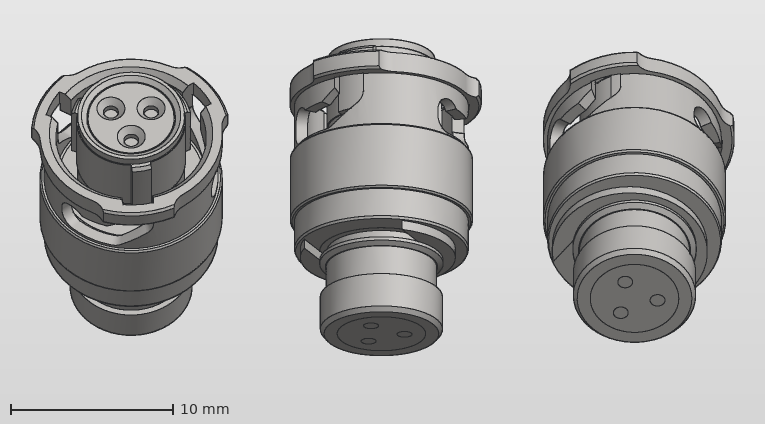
import cadquery as cq
import math

TOP_Z = 18.3
LIP_BOTTOM_Z = 17.77
KEY_BOTTOM_Z = 13.69
FLOOR_Z = 11.8
COUPLING_BOTTOM_Z = 5.49
CLIP_BOTTOM_Z = 4.89
NECK_TOP_Z = 4.45
REAR_BAND_TOP_Z = 2.45

LIP_RADIUS = 3.3
BARREL_RADIUS = 3.37
MOUTH_RADIUS = 3.05
SHELL_BORE_RADIUS = 2.73
FLANGE_RADIUS = 4.63
SHANK_RADIUS = 3.8
SHANK_CHAMFER_WIDTH = 0.35
SHANK_CHAMFER_HEIGHT = 0.22
CLIP_GROOVE_RADIUS = 3.37
NECK_RADIUS = 3.4
REAR_BAND_RADIUS = 3.77
REAR_CHAMFER_WIDTH = 0.24
REAR_CHAMFER_HEIGHT = 0.3

KEY_OUTER_RADIUS = 3.73
KEY_CHAMFER = 0.2
WIDE_KEY_WIDTH = 2.4
NARROW_KEY_WIDTH = 1.2
WIDE_KEY_DIRECTION = 90.0
NARROW_KEY_DIRECTIONS = (220.0, 340.0)

INSERT_FACE_Z = 18.08
INSERT_NOSE_RADIUS = 2.65
INSERT_NOSE_LENGTH = 0.37
CONTACT_COUNT = 3
CONTACT_PITCH = 360.0 / CONTACT_COUNT
CONTACT_CIRCLE_RADIUS = 1.43
CONTACT_RADIUS = 0.45
CONTACT_TOP_Z = 17.33
LEAD_IN_RADIUS = 0.86
LEAD_IN_DEPTH = 0.38

SEAL_RADIUS = 4.47
SEAL_THICKNESS = 0.37

CLIP_RADIUS = 4.78
CLIP_OFFSET_Y = 0.5

COUPLING_TURN = 4.3
COUPLING_BORE_RADIUS = FLANGE_RADIUS
SLEEVE_RADIUS = 5.36
SLEEVE_BOTTOM_CHAMFER = (0.07, 0.16)
GRIP_RADIUS = 5.62
GRIP_TOP_Z = 11.73
GRIP_BOTTOM_Z = 7.47
GRIP_CHAMFER = 0.11
RIM_TOP_Z = 16.43
RIM_BOTTOM_Z = 15.17
RIM_MOUTH_CHAMFER = 0.4
RIM_RADIUS = 5.62
LOBE_RADIUS = 6.15
LOBE_CHAMFER = 0.15
LOBE_COUNT = 3
LOBE_HALF_ANGLE = 20.7
LOBE_FILLET_ANGLE = 30.0
LOBE_PITCH = 360.0 / LOBE_COUNT

SLOT_WIDTH = 1.9
SLOT_HALF = SLOT_WIDTH / 2
SLOT_BEND_Z = 14.04
SLOT_RAMP_ANGLE = 35.0
SLOT_BOTTOM_Z = 11.93
SLOT_TRACK_Z = SLOT_BOTTOM_Z + SLOT_HALF
SLOT_LENGTH = 4.41
SLOT_POCKET_RISE = 0.38
SLOT_ENTRY_DEPTH_RADIUS = 5.42

CUT_MARGIN = 0.18


def polar(radius, angle):
    """Point at a radius and an angle in degrees."""
    return radius * math.cos(math.radians(angle)), radius * math.sin(math.radians(angle))


def turned(body, angle):
    """A copy of the body turned about the connector axis."""
    return body.rotate((0, 0, 0), (0, 0, 1), angle)


def cylinder(radius, bottom, top):
    """Solid cylinder about the connector axis between two heights."""
    return cq.Workplane("XY", origin=(0, 0, bottom)).circle(radius).extrude(top - bottom)


def revolved(points):
    """Solid of revolution about Z from (radius, height) points."""
    return cq.Workplane("XZ").polyline(points).close().revolve(360, (0, 0, 0), (0, 1, 0))


def make_key(direction, width):
    """Polarizing key, chamfered at its upper outer edge."""
    profile = [
        (SHELL_BORE_RADIUS + CUT_MARGIN, KEY_BOTTOM_Z),
        (KEY_OUTER_RADIUS, KEY_BOTTOM_Z),
        (KEY_OUTER_RADIUS, LIP_BOTTOM_Z - KEY_CHAMFER),
        (KEY_OUTER_RADIUS - KEY_CHAMFER, LIP_BOTTOM_Z),
        (SHELL_BORE_RADIUS + CUT_MARGIN, LIP_BOTTOM_Z),
    ]
    bar = cq.Workplane("XY", origin=(0, 0, KEY_BOTTOM_Z)).box(
        2 * KEY_OUTER_RADIUS, width, LIP_BOTTOM_Z - KEY_BOTTOM_Z, centered=(False, True, False)
    )
    return turned(revolved(profile).intersect(bar), direction)


def make_shell():
    """Tubular plug shell with the keys, the flange, the clip groove and the rear band."""
    shank_chamfer_top = NECK_TOP_Z + SHANK_CHAMFER_HEIGHT
    shell = revolved([
        (SHELL_BORE_RADIUS, 0),
        (REAR_BAND_RADIUS - REAR_CHAMFER_WIDTH, 0),
        (REAR_BAND_RADIUS, REAR_CHAMFER_HEIGHT),
        (REAR_BAND_RADIUS, REAR_BAND_TOP_Z),
        (NECK_RADIUS, REAR_BAND_TOP_Z),
        (NECK_RADIUS, NECK_TOP_Z),
        (SHANK_RADIUS - SHANK_CHAMFER_WIDTH, NECK_TOP_Z),
        (SHANK_RADIUS, shank_chamfer_top),
        (SHANK_RADIUS, CLIP_BOTTOM_Z),
        (CLIP_GROOVE_RADIUS, CLIP_BOTTOM_Z),
        (CLIP_GROOVE_RADIUS, COUPLING_BOTTOM_Z),
        (SHANK_RADIUS, COUPLING_BOTTOM_Z),
        (SHANK_RADIUS, GRIP_BOTTOM_Z),
        (FLANGE_RADIUS, GRIP_BOTTOM_Z),
        (FLANGE_RADIUS, FLOOR_Z),
        (SEAL_RADIUS, FLOOR_Z),
        (SEAL_RADIUS, FLOOR_Z - SEAL_THICKNESS),
        (LIP_RADIUS, FLOOR_Z - SEAL_THICKNESS),
        (LIP_RADIUS, KEY_BOTTOM_Z),
        (BARREL_RADIUS, KEY_BOTTOM_Z),
        (BARREL_RADIUS, LIP_BOTTOM_Z),
        (LIP_RADIUS, LIP_BOTTOM_Z),
        (LIP_RADIUS, TOP_Z),
        (MOUTH_RADIUS, TOP_Z),
        (SHELL_BORE_RADIUS, INSERT_FACE_Z),
    ])
    shell = shell.union(make_key(WIDE_KEY_DIRECTION, WIDE_KEY_WIDTH))
    for direction in NARROW_KEY_DIRECTIONS:
        shell = shell.union(make_key(direction, NARROW_KEY_WIDTH))
    return shell


def make_seal():
    """Flat ring lying flush in the top of the shell flange."""
    return cylinder(SEAL_RADIUS, FLOOR_Z - SEAL_THICKNESS, FLOOR_Z).cut(
        cylinder(LIP_RADIUS, FLOOR_Z - SEAL_THICKNESS, FLOOR_Z)
    )


def contact_positions():
    """Centres of the contacts, the first in line with the wide key."""
    return [
        polar(CONTACT_CIRCLE_RADIUS, WIDE_KEY_DIRECTION + i * CONTACT_PITCH)
        for i in range(CONTACT_COUNT)
    ]


def make_insert():
    """Insulator filling the shell bore, with a funnel-mouthed hole for each contact."""
    nose_bottom = INSERT_FACE_Z - INSERT_NOSE_LENGTH
    insert = cylinder(SHELL_BORE_RADIUS, 0, nose_bottom).union(
        cylinder(INSERT_NOSE_RADIUS, nose_bottom, INSERT_FACE_Z)
    )
    contact_hole = revolved([
        (0, 0),
        (CONTACT_RADIUS, 0),
        (CONTACT_RADIUS, INSERT_FACE_Z - LEAD_IN_DEPTH),
        (LEAD_IN_RADIUS, INSERT_FACE_Z),
        (0, INSERT_FACE_Z),
    ])
    for x, y in contact_positions():
        insert = insert.cut(contact_hole.translate((x, y, 0)))
    return insert


def make_contact(x, y):
    """Round contact ending below the funnel of its hole."""
    return cylinder(CONTACT_RADIUS, 0, CONTACT_TOP_Z).translate((x, y, 0))


def make_clip():
    """Eccentric U-shaped retaining clip, open toward +Y."""
    thickness = COUPLING_BOTTOM_Z - CLIP_BOTTOM_Z
    opening_length = CLIP_RADIUS + CLIP_OFFSET_Y
    disc = cylinder(CLIP_RADIUS, CLIP_BOTTOM_Z, COUPLING_BOTTOM_Z).translate((0, CLIP_OFFSET_Y, 0))
    opening = cq.Workplane("XY", origin=(0, 0, CLIP_BOTTOM_Z)).box(
        2 * CLIP_GROOVE_RADIUS, opening_length, thickness, centered=(True, False, False)
    )
    seat = cylinder(CLIP_GROOVE_RADIUS, CLIP_BOTTOM_Z, COUPLING_BOTTOM_Z)
    return disc.cut(opening).cut(seat)


def make_lobed_rim():
    """Rim with three edge-chamfered lobes whose hollow flanks run smoothly into the plain rim."""
    half_gap = LOBE_FILLET_ANGLE - LOBE_HALF_ANGLE
    corner_x, corner_y = polar(LOBE_RADIUS, half_gap)
    overhang = corner_x - RIM_RADIUS
    flank_radius = (overhang**2 + corner_y**2) / (2 * overhang)
    flank_centre = RIM_RADIUS + flank_radius
    flank_half_turn = math.degrees(math.asin(corner_y / flank_radius)) / 2
    mid_x = flank_centre - flank_radius * math.cos(math.radians(flank_half_turn))
    mid_y = flank_radius * math.sin(math.radians(flank_half_turn))
    flank_mid_radius = math.hypot(mid_x, mid_y)
    flank_mid_angle = LOBE_FILLET_ANGLE - math.degrees(math.atan2(mid_y, mid_x))

    outline = cq.Workplane("XY", origin=(0, 0, RIM_BOTTOM_Z)).moveTo(*polar(LOBE_RADIUS, -LOBE_HALF_ANGLE))
    for i in range(LOBE_COUNT):
        lobe = i * LOBE_PITCH
        next_lobe = lobe + LOBE_PITCH
        outline = (
            outline
            .threePointArc(polar(LOBE_RADIUS, lobe), polar(LOBE_RADIUS, lobe + LOBE_HALF_ANGLE))
            .threePointArc(
                polar(flank_mid_radius, lobe + flank_mid_angle), polar(RIM_RADIUS, lobe + LOBE_FILLET_ANGLE)
            )
            .threePointArc(
                polar(RIM_RADIUS, lobe + LOBE_PITCH / 2), polar(RIM_RADIUS, next_lobe - LOBE_FILLET_ANGLE)
            )
            .threePointArc(
                polar(flank_mid_radius, next_lobe - flank_mid_angle),
                polar(LOBE_RADIUS, next_lobe - LOBE_HALF_ANGLE),
            )
        )
    rim = outline.close().extrude(RIM_TOP_Z - RIM_BOTTOM_Z)
    chamfered_disc = cylinder(LOBE_RADIUS, RIM_BOTTOM_Z, RIM_TOP_Z).edges().chamfer(LOBE_CHAMFER)
    return rim.intersect(chamfered_disc)


def slot_outline():
    """Slot unrolled flat: x runs around the sleeve from the entry, y is height."""
    ramp = math.radians(SLOT_RAMP_ANGLE)
    half_ramp = ramp / 2
    ramp_end = (SLOT_BEND_Z - SLOT_TRACK_Z) / math.tan(ramp)
    pocket_z = SLOT_TRACK_Z + SLOT_POCKET_RISE
    ceiling_z = SLOT_TRACK_Z + SLOT_HALF
    ceiling_end = SLOT_LENGTH - math.sqrt(SLOT_HALF**2 - (ceiling_z - pocket_z) ** 2)

    def entry_bend(turn):
        """Point on the bend from the entry into the ramp, after turning from the vertical side."""
        return -SLOT_HALF * math.cos(turn), SLOT_BEND_Z - SLOT_HALF * math.sin(turn)

    def track_bend(turn):
        """Point on the bend from the ramp into the level track, at this slope."""
        return ramp_end - SLOT_HALF * math.sin(turn), SLOT_TRACK_Z - SLOT_HALF * math.cos(turn)

    entry_turn = math.pi / 2 - ramp
    diagonal = SLOT_HALF * math.sqrt(0.5)
    return (
        cq.Workplane("XY")
        .moveTo(-SLOT_HALF, RIM_BOTTOM_Z)
        .lineTo(-SLOT_HALF, SLOT_BEND_Z)
        .threePointArc(entry_bend(entry_turn / 2), entry_bend(entry_turn))
        .lineTo(*track_bend(ramp))
        .threePointArc(track_bend(half_ramp), track_bend(0))
        .lineTo(SLOT_LENGTH, SLOT_BOTTOM_Z)
        .threePointArc(
            (SLOT_LENGTH + diagonal, SLOT_TRACK_Z - diagonal),
            (SLOT_LENGTH + SLOT_HALF, SLOT_TRACK_Z),
        )
        .lineTo(SLOT_LENGTH + SLOT_HALF, pocket_z)
        .threePointArc((SLOT_LENGTH, pocket_z + SLOT_HALF), (ceiling_end, ceiling_z))
        .lineTo(ramp_end + SLOT_HALF * math.tan(half_ramp), ceiling_z)
        .lineTo(SLOT_HALF, SLOT_BEND_Z + SLOT_HALF * math.tan(entry_turn / 2))
        .lineTo(SLOT_HALF, RIM_BOTTOM_Z)
        .close()
    )


def make_slot_cutters():
    """Track and entry of one bayonet slot, entry at angle zero, track running clockwise from above."""
    radians_per_length = 1 / SLEEVE_RADIUS
    to_angle_and_height = cq.Matrix([
        [-radians_per_length, 0, 0, math.pi],
        [0, 1, 0, 0],
        [0, 0, 1, 0],
    ])
    flat_slot = cq.Face.makeFromWires(slot_outline().wire().val().transformGeometry(to_angle_and_height))
    outer_radius = GRIP_RADIUS + CUT_MARGIN
    depth = outer_radius - COUPLING_BORE_RADIUS + CUT_MARGIN
    wall = cq.Workplane(cq.Solid.makeCylinder(outer_radius, TOP_Z)).faces("%CYLINDER").val()
    wrapped = cq.occ_impl.shapes.faceOn(wall, flat_slot)
    track = turned(cq.Workplane(cq.occ_impl.shapes.offset(wrapped, -depth)), 180)
    entry = cq.Workplane("XY", origin=(0, 0, SLOT_BEND_Z)).box(
        SLOT_ENTRY_DEPTH_RADIUS + CUT_MARGIN, SLOT_WIDTH, TOP_Z - SLOT_BEND_Z, centered=(False, True, False)
    )
    return track, entry.intersect(cylinder(SLOT_ENTRY_DEPTH_RADIUS, SLOT_BEND_Z, TOP_Z))


def make_coupling():
    """Bayonet coupling ring: grip, slotted sleeve and lobed rim."""
    chamfer_width, chamfer_height = SLEEVE_BOTTOM_CHAMFER
    ring = revolved([
        (0, COUPLING_BOTTOM_Z),
        (SLEEVE_RADIUS - chamfer_width, COUPLING_BOTTOM_Z),
        (SLEEVE_RADIUS, COUPLING_BOTTOM_Z + chamfer_height),
        (SLEEVE_RADIUS, GRIP_BOTTOM_Z),
        (GRIP_RADIUS - GRIP_CHAMFER, GRIP_BOTTOM_Z),
        (GRIP_RADIUS, GRIP_BOTTOM_Z + GRIP_CHAMFER),
        (GRIP_RADIUS, GRIP_TOP_Z - GRIP_CHAMFER),
        (GRIP_RADIUS - GRIP_CHAMFER, GRIP_TOP_Z),
        (SLEEVE_RADIUS, GRIP_TOP_Z),
        (SLEEVE_RADIUS, RIM_BOTTOM_Z),
        (0, RIM_BOTTOM_Z),
    ]).union(make_lobed_rim())
    bore = revolved([
        (0, COUPLING_BOTTOM_Z),
        (SHANK_RADIUS, COUPLING_BOTTOM_Z),
        (SHANK_RADIUS, GRIP_BOTTOM_Z),
        (COUPLING_BORE_RADIUS, GRIP_BOTTOM_Z),
        (COUPLING_BORE_RADIUS, RIM_TOP_Z - RIM_MOUTH_CHAMFER),
        (COUPLING_BORE_RADIUS + RIM_MOUTH_CHAMFER, RIM_TOP_Z),
        (0, RIM_TOP_Z),
    ])
    ring = ring.cut(bore)
    track, entry = make_slot_cutters()
    for i in range(LOBE_COUNT):
        ring = ring.cut(turned(track, i * LOBE_PITCH)).cut(turned(entry, i * LOBE_PITCH))
    return turned(ring, WIDE_KEY_DIRECTION + COUPLING_TURN)


shell = make_shell()
seal = make_seal()
insert = make_insert()
contacts = [make_contact(x, y) for x, y in contact_positions()]
clip = make_clip()
coupling = make_coupling()

result = cq.Compound.makeCompound([
    shell.val(),
    seal.val(),
    insert.val(),
    *[contact.val() for contact in contacts],
    clip.val(),
    coupling.val(),
])